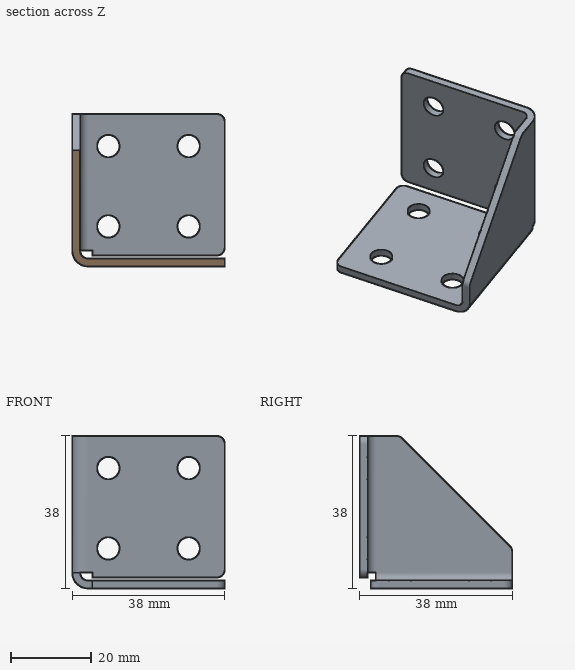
import cadquery as cq

size = 38.0
thickness = 2.0
outer_bend = 4.0
inner_bend = outer_bend - thickness
corner_radius = 2.0

relief_end = 5.0
wall_edge = 2.75

hole_diameter = 5.5
hole_pitch = 20.0
first_hole_x = 9.0
first_hole_height = 10.0

gusset_corner = 10.0


def drilled_wall():
    """Bent wall in the XZ plane: bend, flat plate, relief step and four holes."""
    bend = (
        cq.Workplane("XY")
        .workplane(offset=outer_bend)
        .moveTo(0, outer_bend)
        .radiusArc((outer_bend, 0), -outer_bend)
        .lineTo(outer_bend, thickness)
        .radiusArc((thickness, outer_bend), inner_bend)
        .close()
        .extrude(size - outer_bend)
    )
    plate = (
        cq.Workplane("XZ")
        .moveTo(outer_bend, outer_bend)
        .lineTo(relief_end, outer_bend)
        .lineTo(relief_end, wall_edge)
        .lineTo(size, wall_edge)
        .lineTo(size, size)
        .lineTo(outer_bend, size)
        .close()
        .extrude(-thickness)
        .edges("|Y and >X")
        .fillet(corner_radius)
    )
    hole_centers = [
        (first_hole_x + column * hole_pitch, first_hole_height + row * hole_pitch)
        for column in (0, 1)
        for row in (0, 1)
    ]
    holes = (
        cq.Workplane("XZ")
        .pushPoints(hole_centers)
        .circle(hole_diameter / 2)
        .extrude(-thickness)
    )
    return bend.union(plate.cut(holes))


def gusset():
    """Flat side wall in the YZ plane with a sloped, rounded outer edge."""
    return (
        cq.Workplane("YZ")
        .moveTo(outer_bend, outer_bend)
        .lineTo(size, outer_bend)
        .lineTo(size, gusset_corner)
        .lineTo(gusset_corner, size)
        .lineTo(outer_bend, size)
        .close()
        .extrude(thickness)
        .edges("|X and >(0, 1, 1)")
        .fillet(corner_radius)
    )


front_wall = drilled_wall()
base = front_wall.mirror("XZ").rotate((0, 0, 0), (1, 0, 0), -90)

result = front_wall.union(base).union(gusset())